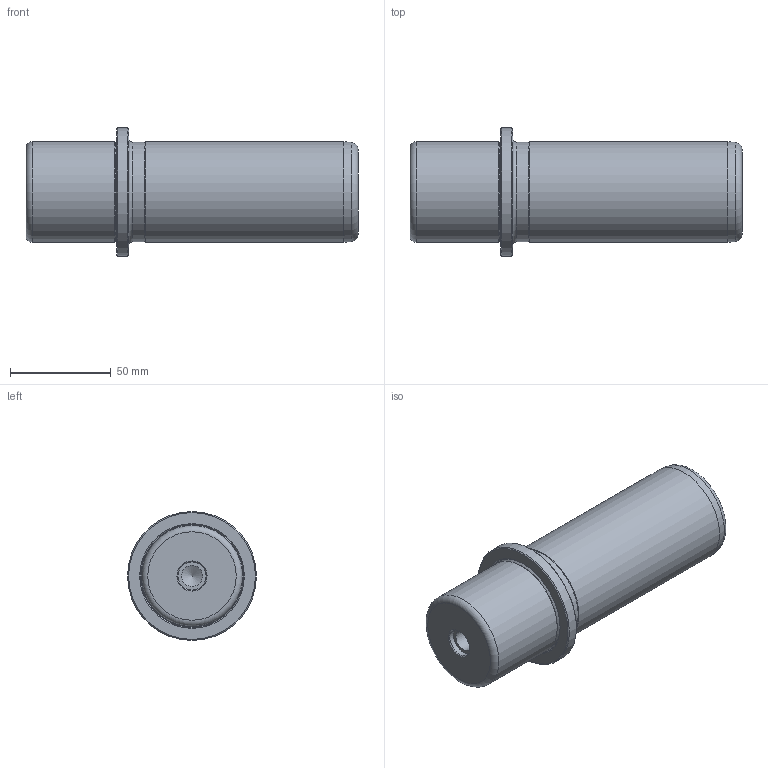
import cadquery as cq
import math

total_length = 165.0
shaft_radius = 25.0

flange_start = 45.0
flange_width = 6.0
flange_end = flange_start + flange_width
flange_radius = 32.0
flange_chamfer = 0.5

spigot_end_round = 3.0
corner_relief_reach = 1.0
corner_relief_depth = 0.5

neck_radius = 24.75
neck_fillet = 2.0
neck_length = 8.25
neck_end = flange_end + neck_length
neck_chamfer = shaft_radius - neck_radius

lead_in_start = 158.0
lead_in_angle = math.radians(6.0)
guide_end_round = 3.5
lead_in_end = total_length - guide_end_round * (1 - math.sin(lead_in_angle))
lead_in_radius = shaft_radius - (lead_in_end - lead_in_start) * math.tan(lead_in_angle)
end_face_radius = lead_in_radius - guide_end_round * math.cos(lead_in_angle)

counterbore_radius = 7.0
counterbore_depth = 3.0
counterbore_chamfer = 0.5
drill_radius = 5.25
drill_depth = 20.0
drill_point_angle = math.radians(118.0)


def revolve_about_x(profile):
    """Close a profile drawn as (X, radius) points and revolve it around the X axis."""
    return profile.close().revolve(360, (0, 0, 0), (1, 0, 0))


def make_body():
    """Spigot, flange, neck and guide section as one turned solid."""
    round_mid = 1 - math.sqrt(0.5)
    spigot_round_mid = (spigot_end_round * round_mid, shaft_radius - spigot_end_round * round_mid)
    neck_fillet_mid = (flange_end + neck_fillet * round_mid, neck_radius + neck_fillet * round_mid)
    profile = (
        cq.Workplane("XY")
        .lineTo(0, shaft_radius - spigot_end_round)
        .threePointArc(spigot_round_mid, (spigot_end_round, shaft_radius))
        .lineTo(flange_start, shaft_radius)
        .lineTo(flange_start, flange_radius - flange_chamfer)
        .lineTo(flange_start + flange_chamfer, flange_radius)
        .lineTo(flange_end - flange_chamfer, flange_radius)
        .lineTo(flange_end, flange_radius - flange_chamfer)
        .lineTo(flange_end, neck_radius + neck_fillet)
        .threePointArc(neck_fillet_mid, (flange_end + neck_fillet, neck_radius))
        .lineTo(neck_end - neck_chamfer, neck_radius)
        .lineTo(neck_end, shaft_radius)
        .lineTo(lead_in_start, shaft_radius)
        .lineTo(lead_in_end, lead_in_radius)
        .tangentArcPoint((total_length, end_face_radius), relative=False)
        .lineTo(total_length, 0)
    )
    return revolve_about_x(profile)


def make_corner_relief():
    """Shallow 45 degree undercut running into the corner of the spigot and the flange."""
    spigot_edge = flange_start - corner_relief_reach
    flange_edge = shaft_radius + corner_relief_reach
    profile = (
        cq.Workplane("XY")
        .moveTo(spigot_edge, shaft_radius)
        .lineTo(spigot_edge + corner_relief_depth, shaft_radius - corner_relief_depth)
        .lineTo(flange_start + corner_relief_depth, flange_edge - corner_relief_depth)
        .lineTo(flange_start, flange_edge)
    )
    return revolve_about_x(profile)


def make_centre_hole():
    """Drilled hole with a conical bottom and a chamfered counterbore."""
    point_length = drill_radius / math.tan(drill_point_angle / 2)
    profile = (
        cq.Workplane("XY")
        .lineTo(0, counterbore_radius + counterbore_chamfer)
        .lineTo(counterbore_chamfer, counterbore_radius)
        .lineTo(counterbore_depth, counterbore_radius)
        .lineTo(counterbore_depth, drill_radius)
        .lineTo(drill_depth, drill_radius)
        .lineTo(drill_depth + point_length, 0)
    )
    return revolve_about_x(profile)


result = make_body().cut(make_corner_relief()).cut(make_centre_hole())